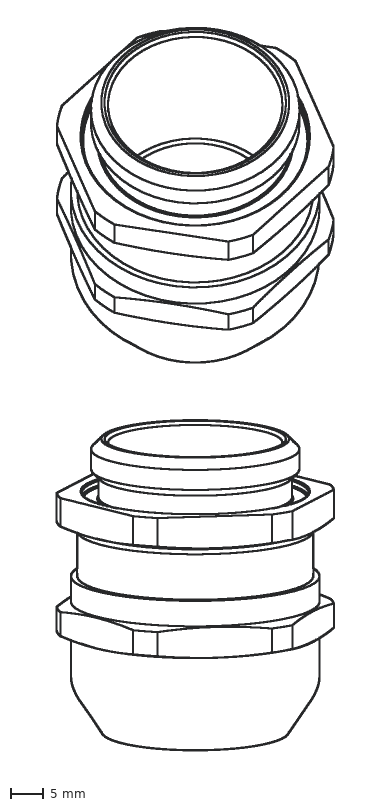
import cadquery as cq
import math

across_flats = 39.0
across_corners = 42.9
corner_radius = across_corners / 2
hex_chamfer_angle = 15.0

cap_radius = 19.2
mouth_radius = 14.45
cone_angle = 33.5
dome_top_z = 8.95
cap_hex_bottom_z = 15.5
cap_hex_top_z = 20.5
collar_top_z = 24.5

body_radius = 18.22
body_edge_z = 31.65
body_chamfer_radius = 17.95
body_chamfer_top_z = 31.95
groove_radius = 17.65
groove_z = 32.3
groove_mouth_radius = 17.85

nut_bottom_z = 32.75
nut_top_z = 37.85
nut_recess_radius = 17.5
nut_recess_depth = 1.15
nut_recess_chamfer = 0.2

neck_radius = 14.95
neck_top_z = 40.2
spigot_radius = 16.1
spigot_chamfer = 1.6
top_z = 46.1

bore_radius = 13.45
bore_chamfer = 0.55
seal_radius = 12.5
seal_top_z = cap_hex_top_z


def revolve_profile(profile):
    """Turn a closed (radius, z) profile about the Z axis."""
    return profile.close().revolve(360, (0, 0, 0), (0, 1, 0))


def dome_arc():
    """Mid-point and lower end, as (radius, z), of the arc tangent to cap cylinder and cone."""
    angle = math.radians(cone_angle)
    corner_z = (cap_radius - mouth_radius) / math.tan(angle)
    arc_radius = (dome_top_z - corner_z) / math.tan(angle / 2)

    def arc_point(turn):
        return (cap_radius - arc_radius * (1 - math.cos(turn)), dome_top_z - arc_radius * math.sin(turn))

    return arc_point(angle / 2), arc_point(angle)


def make_turned_core():
    """Outer turned shape of cap, body, groove, neck and spigot as one solid."""
    arc_middle, arc_end = dome_arc()
    profile = (
        cq.Workplane("XZ")
        .moveTo(0, 0)
        .lineTo(mouth_radius, 0)
        .lineTo(*arc_end)
        .threePointArc(arc_middle, (cap_radius, dome_top_z))
        .lineTo(cap_radius, collar_top_z)
        .lineTo(body_radius, collar_top_z)
        .lineTo(body_radius, body_edge_z)
        .lineTo(body_chamfer_radius, body_chamfer_top_z)
        .lineTo(groove_radius, groove_z)
        .lineTo(groove_mouth_radius, nut_bottom_z)
        .lineTo(neck_radius, nut_bottom_z)
        .lineTo(neck_radius, neck_top_z)
        .lineTo(spigot_radius, neck_top_z + spigot_radius - neck_radius)
        .lineTo(spigot_radius, top_z - spigot_chamfer)
        .lineTo(spigot_radius - spigot_chamfer, top_z)
        .lineTo(0, top_z)
    )
    return revolve_profile(profile)


def make_hex(bottom_z, hex_top_z, chamfer_top):
    """Hexagon with rounded corners, chamfered below and optionally above."""
    height = hex_top_z - bottom_z
    corner_diameter = across_flats / math.cos(math.pi / 6)
    prism = cq.Workplane("XY").workplane(offset=bottom_z).polygon(6, corner_diameter).extrude(height)
    drop = (corner_radius - cap_radius) * math.tan(math.radians(hex_chamfer_angle))
    envelope = (
        cq.Workplane("XZ")
        .moveTo(0, bottom_z)
        .lineTo(cap_radius, bottom_z)
        .lineTo(corner_radius, bottom_z + drop)
    )
    if chamfer_top:
        envelope = envelope.lineTo(corner_radius, hex_top_z - drop).lineTo(cap_radius, hex_top_z)
    else:
        envelope = envelope.lineTo(corner_radius, hex_top_z)
    return prism.intersect(revolve_profile(envelope.lineTo(0, hex_top_z)))


def make_upper_nut():
    """Upper nut with a ring-shaped recess around the neck."""
    nut = make_hex(nut_bottom_z, nut_top_z, chamfer_top=False)
    floor_z = nut_top_z - nut_recess_depth
    recess = (
        cq.Workplane("XZ")
        .moveTo(neck_radius, nut_top_z)
        .lineTo(neck_radius, floor_z + nut_recess_chamfer)
        .lineTo(neck_radius + nut_recess_chamfer, floor_z)
        .lineTo(nut_recess_radius - nut_recess_chamfer, floor_z)
        .lineTo(nut_recess_radius, floor_z + nut_recess_chamfer)
        .lineTo(nut_recess_radius, nut_top_z - nut_recess_chamfer)
        .lineTo(nut_recess_radius + nut_recess_chamfer, nut_top_z)
    )
    return nut.cut(revolve_profile(recess))


def make_bore():
    """Through bore: narrow in the cap, wider above, chamfered at the top."""
    profile = (
        cq.Workplane("XZ")
        .moveTo(0, 0)
        .lineTo(seal_radius, 0)
        .lineTo(seal_radius, seal_top_z)
        .lineTo(bore_radius, seal_top_z)
        .lineTo(bore_radius, top_z - bore_chamfer)
        .lineTo(bore_radius + bore_chamfer, top_z)
        .lineTo(0, top_z)
    )
    return revolve_profile(profile)


cap_hex = make_hex(cap_hex_bottom_z, cap_hex_top_z, chamfer_top=True)
result = make_turned_core().union(cap_hex).union(make_upper_nut()).cut(make_bore())